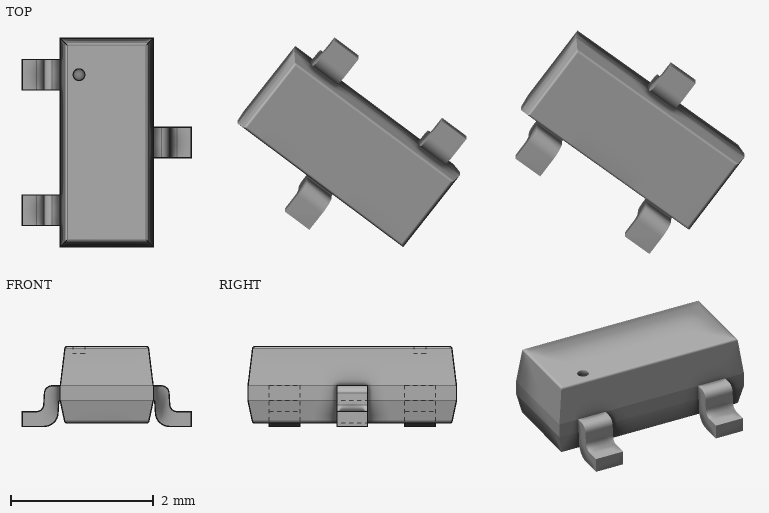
import cadquery as cq
import math

BODY_LENGTH = 2.92
BODY_WIDTH = 1.302
BODY_TOP = 1.12
STANDOFF = 0.05
LEAD_SPAN = 2.37

BAND_TOP = 0.572
UPPER_DRAFT = 7.0
LOWER_DRAFT = 12.0
HOUSING_FILLET = 0.035
MARK_DIAMETER = 0.164
MARK_DEPTH = 0.1
MARK_FROM_SIDE = 0.263
MARK_FROM_END = 0.51

LEAD_THICKNESS = 0.21
LEAD_WIDTH = 0.43
LEAD_PITCH = 0.95
SHANK_LEAN = 3.5
SHOULDER_TO_TOE = 0.318
SHOULDER_RADIUS = 0.11
INSTEP_RADIUS = 0.1
HEEL_RADIUS = 0.201
ARMPIT_RADIUS = 0.015

band_bottom = BAND_TOP - LEAD_THICKNESS


def make_housing():
    """Moulded block with a straight band, drafted above and below."""
    band = (
        cq.Workplane("XY")
        .workplane(offset=band_bottom)
        .rect(BODY_WIDTH, BODY_LENGTH)
        .extrude(LEAD_THICKNESS)
    )
    upper = (
        cq.Workplane("XY")
        .workplane(offset=BAND_TOP)
        .rect(BODY_WIDTH, BODY_LENGTH)
        .extrude(BODY_TOP - BAND_TOP, taper=UPPER_DRAFT)
    )
    lower = (
        cq.Workplane("XY")
        .workplane(offset=band_bottom)
        .rect(BODY_WIDTH, BODY_LENGTH)
        .extrude(STANDOFF - band_bottom, taper=LOWER_DRAFT)
    )
    block = band.union(upper).union(lower)
    block = block.faces(">Z or <Z").edges().fillet(HOUSING_FILLET)

    mark_x = -BODY_WIDTH / 2 + MARK_FROM_SIDE
    mark_y = BODY_LENGTH / 2 - MARK_FROM_END
    mark = (
        cq.Workplane("XY")
        .workplane(offset=BODY_TOP - MARK_DEPTH)
        .center(mark_x, mark_y)
        .circle(MARK_DIAMETER / 2)
        .extrude(MARK_DEPTH)
    )
    return block.cut(mark).solids()


def make_lead(y_center, turn):
    """Gull-wing lead on the -X side, turned about Z by `turn` degrees, then moved to y_center."""
    toe_x = -LEAD_SPAN / 2
    root_x = -BODY_WIDTH / 2
    lean = math.tan(math.radians(SHANK_LEAN))
    shank_offset = LEAD_THICKNESS / math.cos(math.radians(SHANK_LEAN))

    def outer_x(z):
        return toe_x + SHOULDER_TO_TOE - (BAND_TOP - z) * lean

    def inner_x(z):
        return outer_x(z) + shank_offset

    heel = (inner_x(0), 0)
    armpit = (inner_x(band_bottom), band_bottom)
    shoulder = (outer_x(BAND_TOP), BAND_TOP)
    instep = (outer_x(LEAD_THICKNESS), LEAD_THICKNESS)
    outline = [
        (toe_x, 0),
        heel,
        armpit,
        (root_x, band_bottom),
        (root_x, BAND_TOP),
        shoulder,
        instep,
        (toe_x, LEAD_THICKNESS),
    ]
    lead = cq.Workplane("XZ").polyline(outline).close().extrude(LEAD_WIDTH / 2, both=True)

    bends = [
        (heel, HEEL_RADIUS),
        (armpit, ARMPIT_RADIUS),
        (shoulder, SHOULDER_RADIUS),
        (instep, INSTEP_RADIUS),
    ]
    for (x, z), radius in bends:
        corner = cq.selectors.NearestToPointSelector((x, 0, z))
        lead = lead.edges("|Y").edges(corner).fillet(radius)

    return lead.rotate((0, 0, 0), (0, 0, 1), turn).translate((0, y_center, 0)).solids()


housing = make_housing()

lead_places = [(LEAD_PITCH, 0), (-LEAD_PITCH, 0), (0, 180)]
leads = [make_lead(y_center, turn) for y_center, turn in lead_places]

result = cq.Compound.makeCompound([housing.val(), *[lead.val() for lead in leads]])